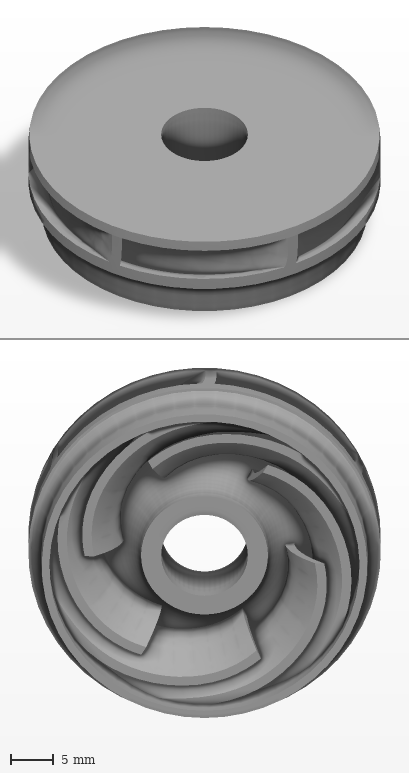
import cadquery as cq
import math

outer_radius = 20.7
total_height = 11.45
bore_radius = 5.1
overshoot = 0.4

rim_bottom = 4.5
rim_top = 6.0
skirt_foot_radius = 19.15
skirt_neck_radius = 19.25
skirt_neck_height = 2.5
flare_top_radius = 20.38
inlet_radius = 18.22
inlet_curve_bottom = rim_top - (outer_radius - inlet_radius)

upper_rim_bottom = 10.2
upper_rim_draft = 0.12
underside_slope = 0.15
hub_flare_radius = 11.6
hub_foot_radius = 7.45
hub_flare_top = upper_rim_bottom - underside_slope * (outer_radius - hub_flare_radius)

vane_count = 6
vane_thickness = 1.1
tip_overrun = (1.15, 0.62)
vane_levels = [2.07, 3.5, 4.75, 6.0, 7.05, 8.3, 9.53, 10.6]
flare_start = 8.55
flare_rate = 0.0845
vane_stations = [(15, 18.6), (46, 15.75), (82, 14.0), (115, 12.43), (150, 10.55)]


def revolve_profile(profile):
    """Revolve a closed (radius, height) profile about Z."""
    return profile.close().revolve(360, (0, 0, 0), (0, 1, 0))


def quarter_midpoint(steep_end, flat_end):
    """Middle of a quarter ellipse that is vertical at steep_end and level at flat_end."""
    blend = math.sqrt(0.5)
    radius = flat_end[0] + (steep_end[0] - flat_end[0]) * blend
    height = steep_end[1] + (flat_end[1] - steep_end[1]) * blend
    return radius, height


def make_body():
    """Solid outline of the part with its bore, before the flow passage is opened."""
    profile = (
        cq.Workplane("XZ")
        .moveTo(bore_radius, 0)
        .lineTo(skirt_foot_radius, 0)
        .lineTo(skirt_neck_radius, skirt_neck_height)
        .tangentArcPoint((flare_top_radius, rim_bottom), relative=False)
        .lineTo(outer_radius, rim_bottom)
        .lineTo(outer_radius, upper_rim_bottom)
        .lineTo(outer_radius - upper_rim_draft, total_height)
        .lineTo(bore_radius, total_height)
    )
    return revolve_profile(profile)


def make_passage():
    """Space from the open inlet below to the rim, overshooting both openings."""
    inlet_edge = (inlet_radius, inlet_curve_bottom)
    rim_edge = (outer_radius, rim_top)
    hub_foot = (hub_foot_radius, inlet_curve_bottom)
    hub_flare = (hub_flare_radius, hub_flare_top)
    profile = (
        cq.Workplane("XZ")
        .moveTo(0, -overshoot)
        .lineTo(inlet_radius, -overshoot)
        .lineTo(*inlet_edge)
        .threePointArc(quarter_midpoint(inlet_edge, rim_edge), rim_edge)
        .lineTo(outer_radius + overshoot, rim_top)
        .lineTo(outer_radius + overshoot, upper_rim_bottom)
        .lineTo(outer_radius, upper_rim_bottom)
        .lineTo(*hub_flare)
        .threePointArc(quarter_midpoint(hub_foot, hub_flare), hub_foot)
        .lineTo(0, inlet_curve_bottom)
    )
    return revolve_profile(profile)


def clockwise_point(degrees, radius):
    """Point at an angle measured clockwise from -Y."""
    angle = math.radians(degrees)
    return -radius * math.sin(angle), -radius * math.cos(angle)


def vane_section(level, outward_shift):
    """Closed wire of one vane at a given height, its swept part moved outward."""
    half_tip = vane_thickness / 2
    tip_x, tip_y = tip_overrun[0], -outer_radius - tip_overrun[1]
    outer = [clockwise_point(a, r + outward_shift) for a, r in vane_stations]
    inner = [clockwise_point(a, r + outward_shift - vane_thickness) for a, r in vane_stations]
    inner.reverse()
    return (
        cq.Workplane("XY", origin=(0, 0, level))
        .moveTo(tip_x - half_tip, tip_y)
        .spline(outer, includeCurrent=True)
        .lineTo(*inner[0])
        .spline(inner[1:] + [(tip_x + half_tip, tip_y)], includeCurrent=True)
        .close()
        .val()
    )


def make_vane():
    """One vane, running past the passage walls and the rim."""
    sections = []
    for level in vane_levels:
        drop = max(0, flare_start - level)
        sections.append(vane_section(level, flare_rate * drop**2))
    return cq.Workplane(cq.Solid.makeLoft(sections, False))


passage = make_passage()
vane = make_vane()
for index in range(vane_count):
    turn = index * 360 / vane_count
    passage = passage.cut(vane.rotate((0, 0, 0), (0, 0, 1), turn))

result = make_body().cut(passage)